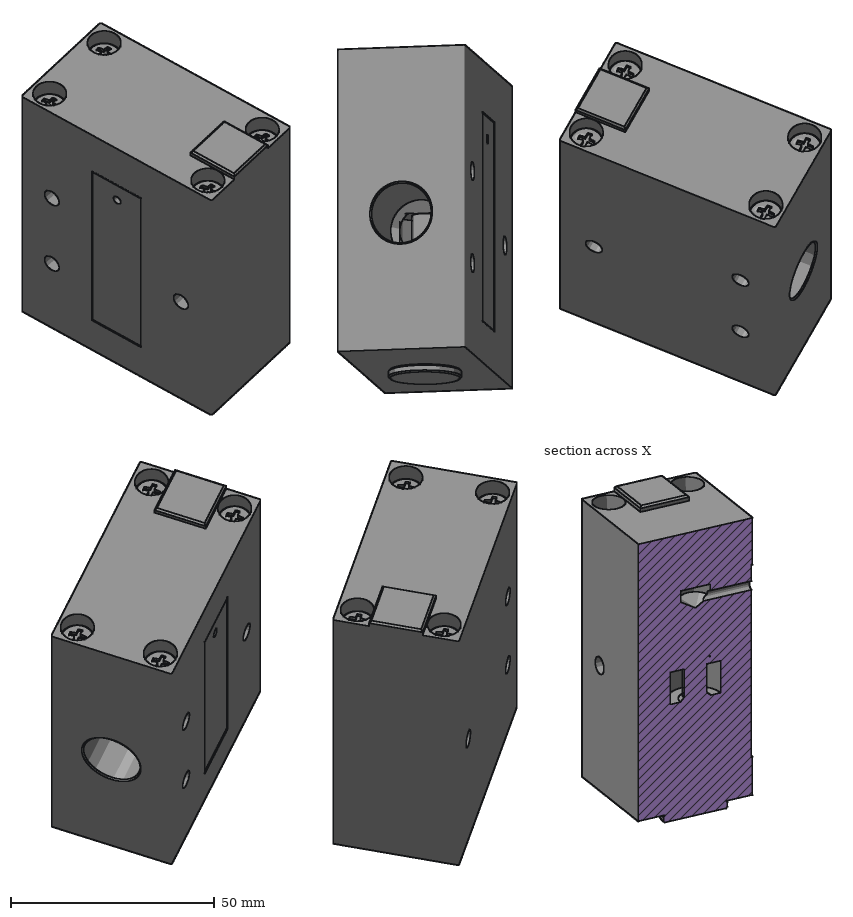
import cadquery as cq
import math

BODY_LENGTH = 59.0
BODY_WIDTH = 32.0
BODY_HEIGHT = 75.5
BODY_CORNER_RADIUS = 0.5
MID_Z = 34.1

PLATE_SIDE = 13.6
PLATE_HEIGHT = 1.5
PLATE_CHAMFER = 0.5

PLUG_DIAMETER = 18.0
PLUG_HEIGHT = 2.0
PLUG_CHAMFER = 0.4

MOUNT_DIAMETER = 4.5
MOUNT_X = 20.0
MOUNT_PITCH_Z = 23.0

LABEL_WIDTH = 15.2
LABEL_BOTTOM_Z = 10.4
LABEL_TOP_Z = 62.6
LABEL_DEPTH = 0.3

SCREW_X = 24.5
SCREW_Y = 11.0
SCREW_BORE_DIAMETER = 8.25
SCREW_HEAD_DIAMETER = 8.0
SCREW_HEAD_DEPTH = 4.3
SCREW_DOME_HEIGHT = 1.2
CROSS_LENGTH = 4.2
CROSS_WIDTH = 1.1
CROSS_DEPTH = 1.0

PORT_DIAMETER = 14.95
PORT_MOUTH_DIAMETER = 15.7
PORT_MOUTH_CHAMFER = (PORT_MOUTH_DIAMETER - PORT_DIAMETER) / 2
PORT_DEPTH = 24.0
DRILL_TIP_ANGLE = 118.0

CHAMBER_DIAMETER = 14.0
CHAMBER_FLAT_X = -4.3
CHAMBER_TOP_Z = MID_Z + 4.4
CHAMBER_BOTTOM_Z = MID_Z - 4.2
SPOOL_DIAMETER = 6.5
SPOOL_FLARE_HEIGHT = 1.0
SPOOL_FLARE_WIDTH = 1.0

VENT_DIAMETER = 2.25
VENT_Z = 57.1
PILOT_DIAMETER = 8.0
PILOT_EDGE_Z = VENT_Z - 0.1
PILOT_HEIGHT = 3.0


def cone_height(radius):
    """Height of a drill-tip cone with the given base radius."""
    return radius / math.tan(math.radians(DRILL_TIP_ANGLE / 2))


def revolved_about_z(points):
    """Solid of revolution about Z from (radius, z) points."""
    return cq.Workplane("XZ").polyline(points).close().revolve(360, (0, 0, 0), (0, 1, 0))


def body_block():
    block = cq.Workplane("XY").box(BODY_LENGTH, BODY_WIDTH, BODY_HEIGHT, centered=(True, True, False))
    return block.edges("|Z").fillet(BODY_CORNER_RADIUS)


def cover_plate():
    plate = cq.Workplane("XY").box(PLATE_SIDE, PLATE_SIDE, PLATE_HEIGHT, centered=(True, True, False))
    plate = plate.faces(">Z").edges().chamfer(PLATE_CHAMFER)
    return plate.translate(((BODY_LENGTH - PLATE_SIDE) / 2, 0, BODY_HEIGHT))


def end_plug():
    plug = cq.Workplane("XY").circle(PLUG_DIAMETER / 2).extrude(-PLUG_HEIGHT)
    return plug.edges().chamfer(PLUG_CHAMFER)


def mounting_holes():
    centres = [
        (-MOUNT_X, MID_Z + MOUNT_PITCH_Z / 2),
        (-MOUNT_X, MID_Z - MOUNT_PITCH_Z / 2),
        (MOUNT_X, MID_Z),
    ]
    holes = cq.Workplane("XZ").pushPoints(centres).circle(MOUNT_DIAMETER / 2)
    return holes.extrude(BODY_WIDTH / 2, both=True)


def label_recess():
    height = LABEL_TOP_Z - LABEL_BOTTOM_Z
    recess = cq.Workplane("XY").box(LABEL_WIDTH, LABEL_DEPTH, height, centered=(True, False, False))
    return recess.translate((0, -BODY_WIDTH / 2, LABEL_BOTTOM_Z))


def screw_recess():
    """Space above one sunk screw, with Z = 0 at the top face of the body."""
    radius = SCREW_HEAD_DIAMETER / 2
    dome_top = SCREW_DOME_HEIGHT - SCREW_HEAD_DEPTH
    sphere_radius = (radius**2 + SCREW_DOME_HEIGHT**2) / (2 * SCREW_DOME_HEIGHT)
    bore = cq.Workplane("XY").circle(SCREW_BORE_DIAMETER / 2).extrude(-SCREW_HEAD_DEPTH)
    dome = cq.Workplane("XY").sphere(sphere_radius).translate((0, 0, dome_top - sphere_radius))
    recess = bore.cut(dome)
    for length, width in ((CROSS_LENGTH, CROSS_WIDTH), (CROSS_WIDTH, CROSS_LENGTH)):
        slot = cq.Workplane("XY").box(length, width, CROSS_DEPTH, centered=(True, True, False))
        recess = recess.union(slot.translate((0, 0, dome_top - CROSS_DEPTH)))
    return recess


def inlet_port():
    radius = PORT_DIAMETER / 2
    mouth_radius = PORT_MOUTH_DIAMETER / 2
    profile = [
        (0, 0),
        (mouth_radius, 0),
        (radius, PORT_MOUTH_CHAMFER),
        (radius, PORT_DEPTH),
        (0, PORT_DEPTH + cone_height(radius)),
    ]
    port = revolved_about_z(profile).rotate((0, 0, 0), (0, 1, 0), 90)
    return port.translate((-BODY_LENGTH / 2, 0, MID_Z))


def spool():
    radius = SPOOL_DIAMETER / 2
    profile = [
        (0, CHAMBER_BOTTOM_Z),
        (radius + SPOOL_FLARE_WIDTH, CHAMBER_BOTTOM_Z),
        (radius, CHAMBER_BOTTOM_Z + SPOOL_FLARE_HEIGHT),
        (radius, CHAMBER_TOP_Z),
        (0, CHAMBER_TOP_Z),
    ]
    return revolved_about_z(profile)


def flow_chamber():
    radius = CHAMBER_DIAMETER / 2
    flat_half_width = math.sqrt(radius**2 - CHAMBER_FLAT_X**2)
    outline = (
        cq.Workplane("XY")
        .workplane(offset=CHAMBER_BOTTOM_Z)
        .moveTo(CHAMBER_FLAT_X, -flat_half_width)
        .threePointArc((radius, 0), (CHAMBER_FLAT_X, flat_half_width))
        .close()
    )
    return outline.extrude(CHAMBER_TOP_Z - CHAMBER_BOTTOM_Z)


def pilot_chamber():
    radius = PILOT_DIAMETER / 2
    profile = [
        (0, PILOT_EDGE_Z - cone_height(radius)),
        (radius, PILOT_EDGE_Z),
        (radius, PILOT_EDGE_Z + PILOT_HEIGHT),
        (0, PILOT_EDGE_Z + PILOT_HEIGHT),
    ]
    return revolved_about_z(profile)


def vent_hole():
    vent = cq.Workplane("XZ").center(0, VENT_Z).circle(VENT_DIAMETER / 2)
    return vent.extrude(BODY_WIDTH / 2)


result = body_block().union(cover_plate()).union(end_plug())
result = result.cut(mounting_holes()).cut(label_recess())
for x in (-SCREW_X, SCREW_X):
    for y in (-SCREW_Y, SCREW_Y):
        result = result.cut(screw_recess().translate((x, y, BODY_HEIGHT)))
result = result.cut(inlet_port().union(flow_chamber()).cut(spool()))
result = result.cut(pilot_chamber().union(vent_hole()))